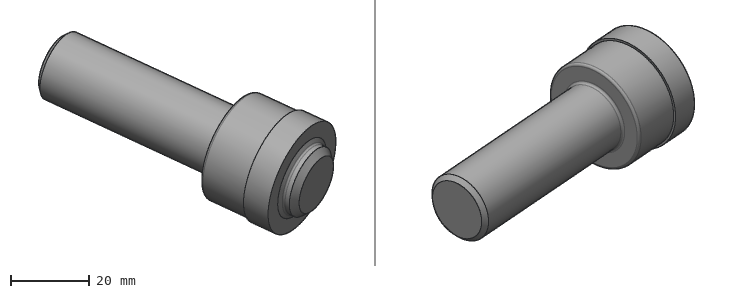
import cadquery as cq
import math

collar_start = 54.0
flange_start = 67.5
flange_end = 75.0
total_length = 79.38

shank_radius = 9.5
collar_radius = 15.1
flange_radius = 15.75
tip_radius = 9.8

shank_chamfer = 1.25
shank_fillet = 0.7
collar_round = 0.7
tip_chamfer = 1.8
root_cone_length = 0.65
root_cone_angle = math.radians(60)
root_blend_radius = 0.7

ARC_SIDE = math.sqrt(0.5)
FULL_TURN = 360


def arc_mid(center_x, center_r, radius, x_sign, r_sign):
    """Middle point of a quarter-circle arc in the given quadrant of its centre."""
    return (center_x + x_sign * radius * ARC_SIDE, center_r + r_sign * radius * ARC_SIDE)


def make_profile():
    """Half section of the pin: X along the axis, Z as the radius."""
    shank_fillet_x = collar_start - shank_fillet
    shank_fillet_r = shank_radius + shank_fillet
    collar_round_x = collar_start + collar_round
    collar_round_r = collar_radius - collar_round

    blend_start_x = flange_end + root_cone_length
    blend_start_r = tip_radius + root_blend_radius * (1 - math.cos(root_cone_angle))
    blend_end_x = blend_start_x + root_blend_radius * math.sin(root_cone_angle)
    blend_mid = (
        blend_end_x - root_blend_radius * math.sin(root_cone_angle / 2),
        tip_radius + root_blend_radius * (1 - math.cos(root_cone_angle / 2)),
    )
    root_cone_r = blend_start_r + root_cone_length * math.tan(root_cone_angle)

    return (
        cq.Workplane("XZ")
        .lineTo(0, shank_radius - shank_chamfer)
        .lineTo(shank_chamfer, shank_radius)
        .lineTo(shank_fillet_x, shank_radius)
        .threePointArc(
            arc_mid(shank_fillet_x, shank_fillet_r, shank_fillet, 1, -1),
            (collar_start, shank_fillet_r),
        )
        .lineTo(collar_start, collar_round_r)
        .threePointArc(
            arc_mid(collar_round_x, collar_round_r, collar_round, -1, 1),
            (collar_round_x, collar_radius),
        )
        .lineTo(flange_start, collar_radius)
        .lineTo(flange_start, flange_radius)
        .lineTo(flange_end, flange_radius)
        .lineTo(flange_end, root_cone_r)
        .lineTo(blend_start_x, blend_start_r)
        .threePointArc(blend_mid, (blend_end_x, tip_radius))
        .lineTo(total_length - tip_chamfer, tip_radius)
        .lineTo(total_length, tip_radius - tip_chamfer)
        .lineTo(total_length, 0)
        .close()
    )


result = make_profile().revolve(FULL_TURN, (0, 0, 0), (1, 0, 0))